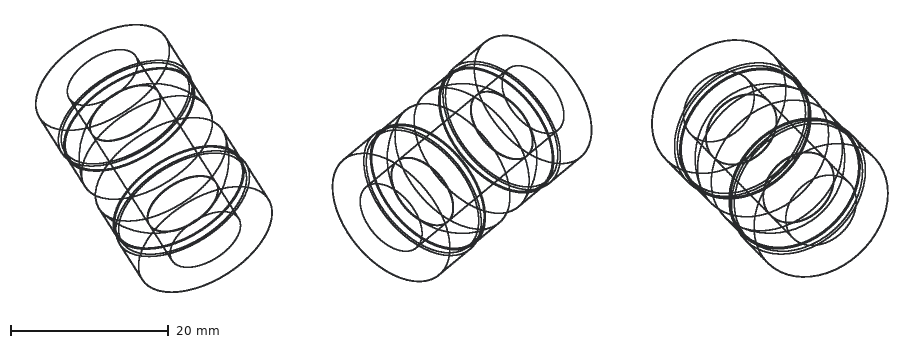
import cadquery as cq

length = 29.0
collar_diameter = 19.0

collar_width = 6.4
groove_width = 1.1
groove_diameter = 18.18
ring_diameter = 18.6

stem_diameter = 10.0
bore_diameter = stem_diameter

hollow_radius = collar_diameter / 2
floor_thickness = 0.1
dome_radius = hollow_radius + floor_thickness

half_length = length / 2
groove_outer_x = half_length - collar_width
groove_inner_x = groove_outer_x - groove_width


def axial_cylinder(diameter, start_x, end_x):
    """Cylinder on the X axis between two stations."""
    return cq.Workplane("YZ", origin=(start_x, 0, 0)).circle(diameter / 2).extrude(end_x - start_x)


def centred_cylinder(diameter, half_width):
    """Cylinder on the X axis, symmetric about the origin."""
    return axial_cylinder(diameter, -half_width, half_width)


def axial_sphere(radius):
    """Sphere at the origin with its poles on the X axis."""
    return cq.Workplane("YZ").sphere(radius)


body = centred_cylinder(ring_diameter, groove_inner_x)
for side in (-1, 1):
    groove = axial_cylinder(groove_diameter, side * groove_inner_x, side * groove_outer_x)
    collar = axial_cylinder(collar_diameter, side * groove_outer_x, side * half_length)
    body = body.union(groove).union(collar)

hollow = axial_sphere(hollow_radius).cut(centred_cylinder(stem_diameter, half_length))

bores = centred_cylinder(bore_diameter, half_length).cut(axial_sphere(dome_radius))

result = body.cut(hollow).cut(bores)